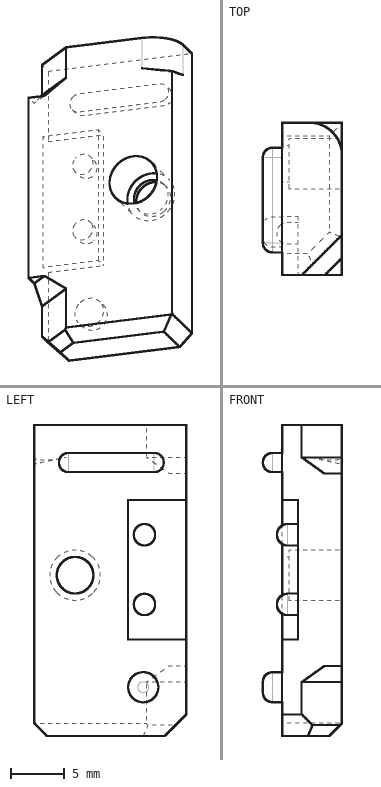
import cadquery as cq
import math

length = 29.0
width = 14.2
overall_depth = 7.37
peg_height = 1.8
thickness = overall_depth - peg_height

front_bevel = 2.03
rear_bevel = 1.22
back_bevel = 1.15
notch_bevel = 1.02

notch_wall_x = 1.83
notch_floor_x = 3.97
top_notch_depth = 3.02
bottom_notch_depth = 5.02
notch_ramp_rise = 1.55

relief_radius = 3.0
relief_depth = top_notch_depth
relief_slope = 17

pocket_depth = 1.48
pocket_width = 5.45
pocket_bottom = 9.02
pocket_top = 22.0
pin_diameter = 2.0
pin_y = 3.92
pin_heights = (12.27, 18.75)
pin_tip = 0.5

peg_diameter = 2.8
peg_y = 4.03
peg_z = 4.55
bar_start = 2.12
bar_end = 11.9
bar_z = 25.5
bar_radius = peg_height / 2
hole_diameter = 3.4
counterbore_diameter = 4.7
hole_lip = 0.67
hole_y = 10.38
hole_z = 15.0


def make_block():
    """Plate with bevelled bottom corners and a bevelled bottom back edge."""
    block = (
        cq.Workplane("YZ")
        .moveTo(front_bevel, 0)
        .lineTo(width - rear_bevel, 0)
        .lineTo(width, rear_bevel)
        .lineTo(width, length)
        .lineTo(0, length)
        .lineTo(0, front_bevel)
        .close()
        .extrude(thickness)
    )
    bevel = (
        cq.Workplane("XZ")
        .moveTo(thickness - back_bevel, 0)
        .lineTo(thickness, 0)
        .lineTo(thickness, back_bevel)
        .close()
        .extrude(-width)
    )
    return block.cut(bevel)


def corner_triangle(start_x, z):
    """Wire of a 45 degree triangle in the y = 0, x = thickness corner."""
    leg = thickness - start_x
    points = [(start_x, 0, z), (thickness, 0, z), (thickness, leg, z)]
    return cq.Wire.makePolygon([cq.Vector(*point) for point in points], close=True)


def corner_prism(lower_x, lower_z, upper_x, upper_z):
    """Triangular corner solid whose diagonal wall changes position with height."""
    return cq.Solid.makeLoft(
        [corner_triangle(lower_x, lower_z), corner_triangle(upper_x, upper_z)], True
    )


def cut_notches(block):
    """Cut both diagonal corner notches, with ramps toward the middle."""
    top_wall = length - top_notch_depth
    bottom_ramp_end = bottom_notch_depth + notch_ramp_rise
    bevel_start_x = notch_wall_x - notch_bevel * math.sqrt(2)
    sections = [
        (notch_wall_x, top_wall, notch_wall_x, length),
        (notch_floor_x, top_wall - notch_ramp_rise, notch_wall_x, top_wall),
        (notch_wall_x, 0, notch_wall_x, bottom_notch_depth),
        (notch_wall_x, bottom_notch_depth, notch_floor_x, bottom_ramp_end),
        (bevel_start_x, 0, notch_wall_x, notch_bevel),
    ]
    for section in sections:
        block = block.cut(cq.Workplane(corner_prism(*section)))
    return block


def make_relief():
    """Concave-sided cutter for the rounded top corner, with a sloping floor."""
    corner = (
        cq.Workplane("XY")
        .workplane(offset=length - 2 * relief_depth)
        .center(thickness - relief_radius, width - relief_radius)
        .rect(relief_radius, relief_radius, centered=False)
        .extrude(2 * relief_depth)
    )
    rounding = (
        cq.Workplane("XY")
        .center(thickness - relief_radius, width - relief_radius)
        .circle(relief_radius)
        .extrude(length)
    )
    floor_rise = math.sqrt(2) / math.tan(math.radians(relief_slope))
    floor = cq.Plane(
        origin=(thickness - relief_radius / 2, width - relief_radius / 2, length - relief_depth),
        normal=(1, 1, floor_rise),
    )
    above_floor = cq.Workplane(floor).rect(length, length).extrude(length)
    return corner.cut(rounding).intersect(above_floor)


def make_pocket():
    return cq.Workplane("XY").box(
        pocket_depth, pocket_width, pocket_top - pocket_bottom, centered=False
    ).translate((0, 0, pocket_bottom))


def make_pin(z):
    """Pin with a hemispherical tip, rising from the pocket floor."""
    radius = pin_diameter / 2
    dome_x = radius - pin_tip
    shank = cq.Workplane("YZ", origin=(dome_x, pin_y, z)).circle(radius).extrude(pocket_depth - dome_x)
    return shank.union(cq.Workplane("XY").sphere(radius).translate((dome_x, pin_y, z)))


def make_peg():
    return (
        cq.Workplane("YZ", origin=(0, peg_y, peg_z))
        .circle(peg_diameter / 2)
        .extrude(-peg_height)
        .faces("<X")
        .edges()
        .fillet(peg_height / 2)
    )


def make_bar():
    """Round-ended bar with its whole outer rim rolled over to a half-round crest."""
    crest_x = bar_radius - peg_height
    end_centres = (bar_start + bar_radius, bar_end - bar_radius)
    span = end_centres[1] - end_centres[0]
    bar = (
        cq.Workplane("YZ", origin=(0, (bar_start + bar_end) / 2, bar_z))
        .slot2D(bar_end - bar_start, 2 * bar_radius)
        .extrude(crest_x)
    )
    crest = cq.Workplane("XZ", origin=(crest_x, end_centres[0], bar_z)).circle(bar_radius).extrude(-span)
    for y in end_centres:
        crest = crest.union(cq.Workplane("XY").sphere(bar_radius).translate((crest_x, y, bar_z)))
    outer_half = cq.Workplane("XY").box(bar_radius, width, length, centered=False).translate((-peg_height, 0, 0))
    return bar.union(crest.intersect(outer_half))


def make_hole():
    """Through hole, opened up from the back to leave a thin lip at the pegged face."""
    bore = cq.Workplane("YZ", origin=(0, hole_y, hole_z)).circle(hole_diameter / 2).extrude(thickness)
    counterbore = (
        cq.Workplane("YZ", origin=(hole_lip, hole_y, hole_z))
        .circle(counterbore_diameter / 2)
        .extrude(thickness - hole_lip)
    )
    return bore.union(counterbore)


result = cut_notches(make_block()).cut(make_relief()).cut(make_pocket()).cut(make_hole())
for pin_z in pin_heights:
    result = result.union(make_pin(pin_z))
result = result.union(make_peg()).union(make_bar())